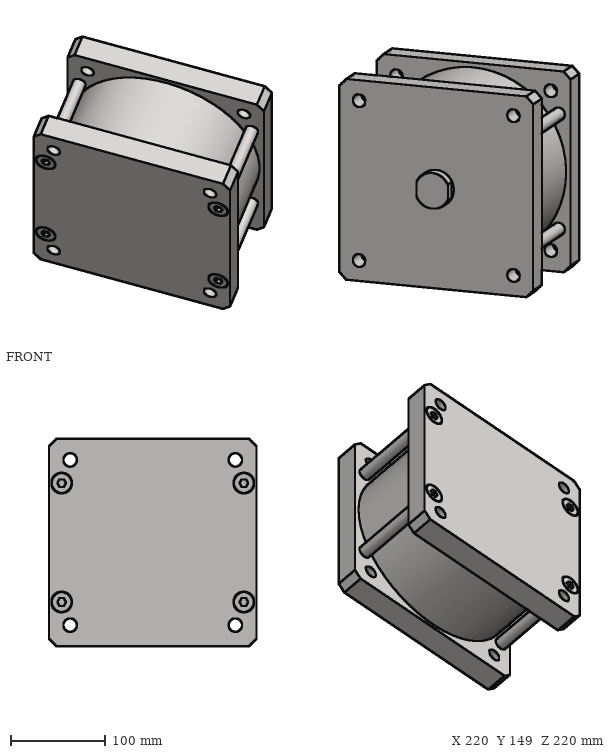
import cadquery as cq
import math

plate_size = 220.0
plate_thickness = 26.0
plate_chamfer = 8.0

body_diameter = 210.0
body_length = 85.0

mount_hole_diameter = 14.0
mount_hole_spacing = 175.0

rod_diameter = 14.0
rod_spacing_x = 193.0
rod_spacing_z = 126.0
counterbore_diameter = 22.0
head_diameter = 21.0
head_height = 10.0
socket_sides = 6
socket_across_flats = 8.0
socket_across_corners = socket_across_flats / math.cos(math.pi / socket_sides)
socket_depth = 5.0

shaft_diameter = 40.0
shaft_length = 12.0
shaft_across_flats = 36.0
flat_start = 2.0
tip_diameter = 39.0
tip_length = 2.0

front_face = 0.0
body_start = front_face + plate_thickness
rear_plate_start = body_start + body_length
rear_face = rear_plate_start + plate_thickness
shaft_end = rear_face + shaft_length


def section_plane(y):
    """XZ workplane at the given Y that extrudes toward +Y (its local x is -X)."""
    return cq.Workplane("XZ", origin=(0, y, 0)).transformed(rotate=(0, 180, 0))


def cylinder(diameter, y_start, y_end):
    return section_plane(y_start).circle(diameter / 2).extrude(y_end - y_start)


def end_plate(y_start):
    plate = section_plane(y_start).rect(plate_size, plate_size).extrude(plate_thickness)
    plate = plate.edges("|Y").chamfer(plate_chamfer)
    holes = (
        section_plane(y_start)
        .rect(mount_hole_spacing, mount_hole_spacing, forConstruction=True)
        .vertices()
        .circle(mount_hole_diameter / 2)
        .extrude(plate_thickness)
    )
    return plate.cut(holes)


def at_rods(y):
    """Workplane at the given Y with a point on each tie-rod axis."""
    return section_plane(y).rect(rod_spacing_x, rod_spacing_z, forConstruction=True).vertices()


def tie_rods():
    return at_rods(body_start).circle(rod_diameter / 2).extrude(body_length)


def screw_recesses():
    """Clearance ring around each flush screw head, and its hexagon socket."""
    counterbores = at_rods(front_face).circle(counterbore_diameter / 2).extrude(head_height)
    heads = at_rods(front_face).circle(head_diameter / 2).extrude(head_height)
    sockets = at_rods(front_face).polygon(socket_sides, socket_across_corners).extrude(socket_depth)
    return counterbores.cut(heads).union(sockets)


def flats_envelope():
    """Block bounded by the wrench flats, which run out at a slope down to the full shaft diameter."""
    flat_x = shaft_across_flats / 2
    full_x = shaft_diameter / 2
    profile = [
        (-full_x, rear_face),
        (full_x, rear_face),
        (flat_x, rear_face + flat_start),
        (flat_x, shaft_end),
        (-flat_x, shaft_end),
        (-flat_x, rear_face + flat_start),
    ]
    return cq.Workplane("XY").polyline(profile).close().extrude(shaft_diameter / 2, both=True)


def shaft():
    tip_start = shaft_end - tip_length
    tip = (
        section_plane(tip_start)
        .circle(shaft_diameter / 2)
        .workplane(offset=tip_length)
        .circle(tip_diameter / 2)
        .loft()
    )
    stub = cylinder(shaft_diameter, rear_face, tip_start).union(tip)
    return stub.intersect(flats_envelope())


result = (
    end_plate(front_face)
    .union(cylinder(body_diameter, body_start, rear_plate_start))
    .union(tie_rods())
    .union(end_plate(rear_plate_start))
    .cut(screw_recesses())
    .union(shaft())
)